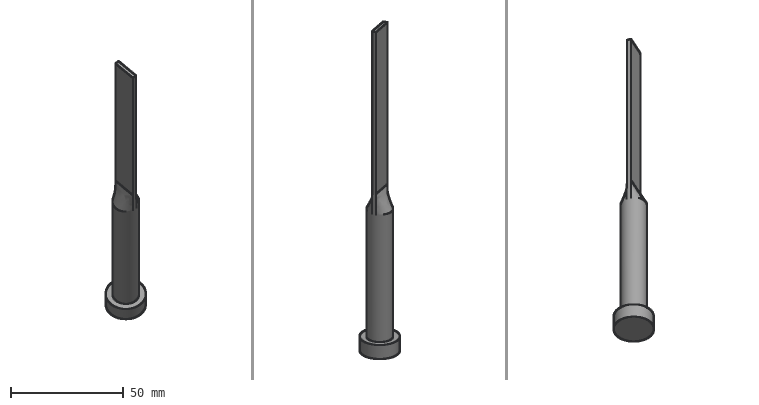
import cadquery as cq
import math

total_length = 160.0
head_height = 7.0
shank_top = 70.0
blade_bottom = 80.0

head_diameter = 18.0
shank_diameter = 12.0
blade_width = 11.5
blade_thickness = 2.0


def make_head():
    """Round head resting on the XY plane."""
    return cq.Workplane("XY").circle(head_diameter / 2).extrude(head_height)


def make_shank():
    """Round shank rising from the head."""
    shank_length = shank_top - head_height
    return cq.Workplane("XY", origin=(0, 0, head_height)).circle(shank_diameter / 2).extrude(shank_length)


def make_transition():
    """Ruled taper from the shank circle to the blade rectangle.

    The circle is split level with the blade faces, so two narrow arcs rule to
    the blade's short sides and two wide arcs rule to its long sides.
    """
    radius = shank_diameter / 2
    half_width = blade_width / 2
    half_thickness = blade_thickness / 2
    split_x = math.sqrt(radius**2 - half_thickness**2)
    profiles = (
        cq.Workplane("XY", origin=(0, 0, shank_top))
        .moveTo(split_x, -half_thickness)
        .threePointArc((radius, 0), (split_x, half_thickness))
        .threePointArc((0, radius), (-split_x, half_thickness))
        .threePointArc((-radius, 0), (-split_x, -half_thickness))
        .threePointArc((0, -radius), (split_x, -half_thickness))
        .close()
        .workplane(offset=blade_bottom - shank_top)
        .moveTo(half_width, -half_thickness)
        .lineTo(half_width, half_thickness)
        .lineTo(-half_width, half_thickness)
        .lineTo(-half_width, -half_thickness)
        .close()
    )
    return profiles.loft(ruled=True)


def make_blade():
    """Flat rectangular blade up to the tip."""
    blade_length = total_length - blade_bottom
    return (
        cq.Workplane("XY", origin=(0, 0, blade_bottom))
        .rect(blade_width, blade_thickness)
        .extrude(blade_length)
    )


result = make_head().union(make_shank()).union(make_transition()).union(make_blade())